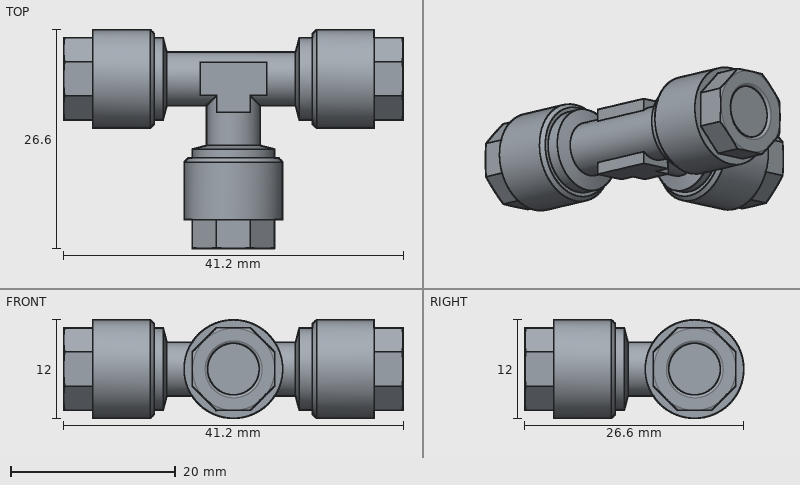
import cadquery as cq
import math

ARM_LENGTH = 20.6

TUBE_DIAMETER = 6.55
BLOCK_WIDTH = 4.05
BLOCK_SPAN = 2 * BLOCK_WIDTH

OCTAGON_SIDES = 8
OCTAGON_FLATS = 10.0
OCTAGON_LENGTH = 3.5
OCTAGON_FACE_DIAMETER = 9.95
OCTAGON_CHAMFER_ANGLE = 15.0
NUT_DIAMETER = 12.0
NUT_LENGTH = 7.5
NUT_CHAMFER = 0.5
COLLAR_DIAMETER = OCTAGON_FLATS
COLLAR_LENGTH = 1.07
LONG_COLLAR_LENGTH = 1.6
COLLAR_CONE_LENGTH = 0.45
MOUTH_DIAMETER = 6.92
MOUTH_FLOOR_DIAMETER = 6.25
MOUTH_ROUNDING = (MOUTH_DIAMETER - MOUTH_FLOOR_DIAMETER) / 2

NUT_OUTER = ARM_LENGTH - OCTAGON_LENGTH
NUT_INNER = NUT_OUTER - NUT_LENGTH

ARMS = [
    ((-1, 0, 0), COLLAR_LENGTH),
    ((1, 0, 0), LONG_COLLAR_LENGTH),
    ((0, -1, 0), COLLAR_LENGTH),
]


def arm_plane(direction):
    """Plane at the tee centre whose normal runs outward along an arm."""
    return cq.Plane(origin=(0, 0, 0), xDir=(0, 0, 1), normal=direction)


def revolve_profile(points):
    """Turn a closed (radius, height) profile about the Z axis."""
    return cq.Workplane("XZ").polyline(points).close().revolve(360, (0, 0), (0, 1))


def make_turned_arm(collar_length):
    """Tube, collar with its cone, and round nut, standing along +Z."""
    tube_radius = TUBE_DIAMETER / 2
    collar_radius = COLLAR_DIAMETER / 2
    nut_radius = NUT_DIAMETER / 2
    collar_inner = NUT_INNER - collar_length
    cone_inner = collar_inner - COLLAR_CONE_LENGTH
    return revolve_profile([
        (0, 0),
        (tube_radius, 0),
        (tube_radius, cone_inner),
        (collar_radius, collar_inner),
        (collar_radius, NUT_INNER),
        (nut_radius - NUT_CHAMFER, NUT_INNER),
        (nut_radius, NUT_INNER + NUT_CHAMFER),
        (nut_radius, NUT_OUTER),
        (0, NUT_OUTER),
    ])


def make_octagon():
    """Octagonal end with chamfered corners and flats square to the X and Y axes."""
    half_side_angle = 180 / OCTAGON_SIDES
    corner_diameter = OCTAGON_FLATS / math.cos(math.radians(half_side_angle))
    octagon = (
        cq.Workplane("XY", origin=(0, 0, NUT_OUTER))
        .polygon(OCTAGON_SIDES, corner_diameter)
        .extrude(OCTAGON_LENGTH)
        .rotate((0, 0, 0), (0, 0, 1), half_side_angle)
    )
    face_radius = OCTAGON_FACE_DIAMETER / 2
    envelope_radius = NUT_DIAMETER / 2
    chamfer_drop = (envelope_radius - face_radius) * math.tan(math.radians(OCTAGON_CHAMFER_ANGLE))
    envelope = revolve_profile([
        (0, NUT_OUTER),
        (envelope_radius, NUT_OUTER),
        (envelope_radius, ARM_LENGTH - chamfer_drop),
        (face_radius, ARM_LENGTH),
        (0, ARM_LENGTH),
    ])
    return octagon.intersect(envelope)


def make_mouth():
    """Shallow flat-bottomed recess whose rim rounds over into the end face."""
    floor_radius = MOUTH_FLOOR_DIAMETER / 2
    rim_radius = MOUTH_DIAMETER / 2
    floor_height = ARM_LENGTH - MOUTH_ROUNDING
    arc_offset = MOUTH_ROUNDING * math.sqrt(0.5)
    return (
        cq.Workplane("XZ")
        .moveTo(0, floor_height)
        .lineTo(floor_radius, floor_height)
        .threePointArc(
            (rim_radius - arc_offset, floor_height + arc_offset),
            (rim_radius, ARM_LENGTH),
        )
        .lineTo(0, ARM_LENGTH)
        .close()
        .revolve(360, (0, 0), (0, 1))
    )


def make_block():
    """T-shaped block around the tube junction."""
    bar = cq.Workplane("XY").box(BLOCK_SPAN, BLOCK_WIDTH, BLOCK_SPAN)
    stem = (
        cq.Workplane("XY")
        .box(BLOCK_WIDTH, BLOCK_WIDTH, BLOCK_SPAN)
        .translate((0, -BLOCK_WIDTH / 2, 0))
    )
    return bar.union(stem)


def make_arm(direction, collar_length):
    """Complete arm, laid along its direction."""
    arm = make_turned_arm(collar_length).union(make_octagon()).cut(make_mouth())
    return cq.Workplane(arm.val().moved(cq.Location(arm_plane(direction))))


result = make_block()
for arm_direction, arm_collar_length in ARMS:
    result = result.union(make_arm(arm_direction, arm_collar_length))